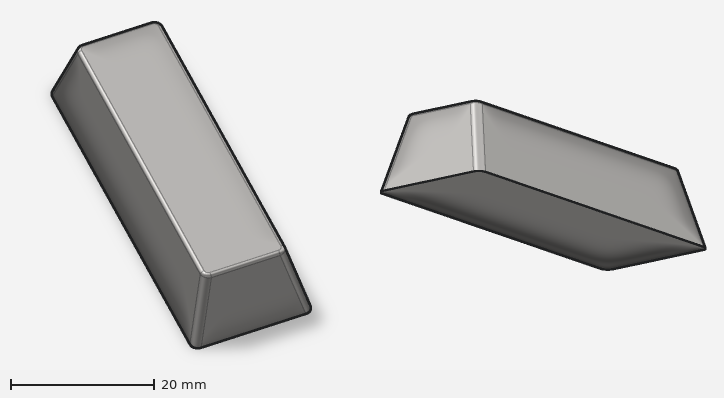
import cadquery as cq

length = 51.65
width = 18.3
height = 11.4

wall_draft = 14.0

corner_radius = 1.25
top_edge_radius = 0.6


def tapered_block():
    """Solid block standing on the XY plane, narrowing evenly towards the top."""
    return cq.Workplane("XY").rect(length, width).extrude(height, taper=wall_draft)


def round_edges(block):
    """Round the four sloping corner edges, then the rim of the top face."""
    corners_rounded = block.edges("not #Z").fillet(corner_radius)
    return corners_rounded.faces(">Z").edges().fillet(top_edge_radius)


result = round_edges(tapered_block())